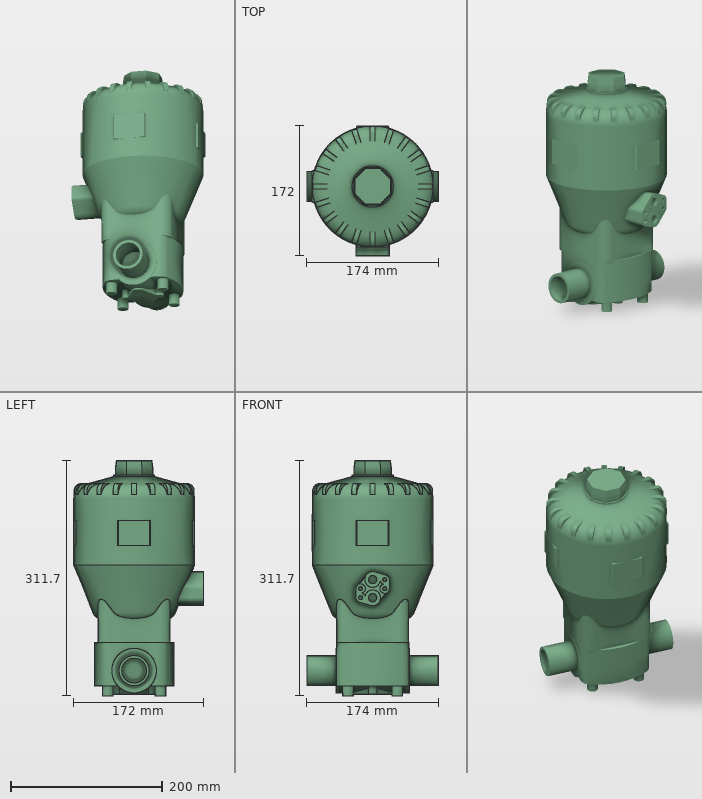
import cadquery as cq
import math


body_radius = 80.0
cone_bottom_radius = 55.1
cone_bottom_z = 77.65
cone_top_z = 139.75
cone_base_fillet = 17.4
cap_base_z = 227.05
cap_fillet = 20.0
cap_slope = math.radians(15.8)
collar_radius = 27.3
collar_height = 2.1

nut_base_z = 258.85
nut_shoulder_z = 268.15
nut_top_z = 277.77
nut_flats = 49.6
nut_top_flats = 47.0

rib_count = 20
rib_width = 6.7
rib_inner_radius = 60.2
rib_outer_radius = 79.5
rib_corner = 10.0
rib_top_z = 247.65
rib_bottom_z = 233.25
rib_root_depth = 8.0

pad_count = 4
pad_width = 44.4
pad_face_width = 41.0
pad_bottom_z = 165.75
pad_height = 33.0
pad_relief = 4.0

neck_width = 95.4
neck_corner = 13.5
block_corner = 14.0
neck_top_z = 100.0
block_top_z = 37.1
block_bottom_z = -20.1
block_width = 95.6
block_depth = 104.9
block_shoulder_x = 40.8
block_shoulder_y = 42.6
block_flat_half = 30.4

pipe_length = 174.0
pipe_radius = 20.0
bore_radius = 16.4
flange_radius = 29.5
flange_length = 97.0

boss_radius = 7.2
boss_x = 32.6
boss_y = 34.9
boss_bottom_z = -33.9
plate_bottom_z = -31.4
plate_half_depth = 21.6
plate_end_x = 26.5
plate_end_radius = 7.8
stud_radius = 5.75
stud_y = 22.4

port_face_y = -92.0
port_root_y = -50.0
port_center_z = 108.5
port_offset = 12.0
port_lobe_radius = 10.6
port_hole_radius = 5.5
port_hole_depth = 15.0
screw_x = 16.0
screw_lobe_radius = 6.2
screw_hole_radius = 2.7
screw_hole_depth = 10.0
recess_rim = 0.9
recess_depth = 0.5
recess_port_radius = 10.3
recess_screw_radius = 6.3

port_points = [(0, port_offset), (0, -port_offset)]
screw_points = [
    (screw_x, port_offset),
    (screw_x, 0),
    (-screw_x, 0),
    (-screw_x, -port_offset),
]


def make_body():
    """Turned body: rounded base, cone, cylinder, rounded cap and collar."""
    collar_base_z = nut_base_z - collar_height
    cone_angle = math.atan2(body_radius - cone_bottom_radius, cone_top_z - cone_bottom_z)
    base_center_r = cone_bottom_radius - cone_base_fillet * math.cos(cone_angle)
    base_center_z = cone_bottom_z + cone_base_fillet * math.sin(cone_angle)
    base_mid_angle = (math.pi / 2 + cone_angle) / 2
    base_mid = (
        base_center_r + cone_base_fillet * math.cos(base_mid_angle),
        base_center_z - cone_base_fillet * math.sin(base_mid_angle),
    )

    cap_center_r = body_radius - cap_fillet
    cap_mid_angle = (math.pi / 2 - cap_slope) / 2
    cap_mid = (
        cap_center_r + cap_fillet * math.cos(cap_mid_angle),
        cap_base_z + cap_fillet * math.sin(cap_mid_angle),
    )
    cap_end = (
        cap_center_r + cap_fillet * math.sin(cap_slope),
        cap_base_z + cap_fillet * math.cos(cap_slope),
    )
    return (
        cq.Workplane("XZ")
        .moveTo(0, base_center_z - cone_base_fillet)
        .lineTo(base_center_r, base_center_z - cone_base_fillet)
        .threePointArc(base_mid, (cone_bottom_radius, cone_bottom_z))
        .lineTo(body_radius, cone_top_z)
        .lineTo(body_radius, cap_base_z)
        .threePointArc(cap_mid, cap_end)
        .lineTo(collar_radius, collar_base_z)
        .lineTo(collar_radius, nut_base_z)
        .lineTo(0, nut_base_z)
        .close()
        .revolve(360, (0, 0, 0), (0, 1, 0))
    )


def octagon(flats, z):
    """Octagon at height z, flats apart across its sides, two of them square to X."""
    corner_diameter = flats / math.cos(math.pi / 8)
    half_step = math.degrees(math.pi / 8)
    return (
        cq.Workplane("XY", origin=(0, 0, z))
        .transformed(rotate=(0, 0, half_step))
        .polygon(8, corner_diameter)
    )


def make_nut():
    """Octagonal nut, straight below its shoulder and tapered above it."""
    straight = octagon(nut_flats, nut_base_z).extrude(nut_shoulder_z - nut_base_z)
    taper = math.degrees(math.atan2((nut_flats - nut_top_flats) / 2, nut_top_z - nut_shoulder_z))
    top = octagon(nut_flats, nut_shoulder_z).extrude(nut_top_z - nut_shoulder_z, taper=taper)
    return straight.union(top)


def make_rib():
    """One rib over the rounded cap edge, lying along +X."""
    corner_r = rib_outer_radius - rib_corner
    corner_z = rib_top_z - rib_corner
    corner_mid = rib_corner * math.sqrt(0.5)
    root_r = rib_outer_radius - rib_root_depth
    root_z = rib_top_z - rib_root_depth
    return (
        cq.Workplane("XZ")
        .moveTo(rib_inner_radius, root_z)
        .lineTo(rib_inner_radius, rib_top_z)
        .lineTo(corner_r, rib_top_z)
        .threePointArc((corner_r + corner_mid, corner_z + corner_mid), (rib_outer_radius, corner_z))
        .lineTo(rib_outer_radius, rib_bottom_z)
        .lineTo(root_r, rib_bottom_z)
        .close()
        .extrude(rib_width / 2, both=True)
    )


def make_pad():
    """Label pad with slanted sides, its face touching the body radius on +X."""
    root_x = body_radius - pad_relief
    return (
        cq.Workplane("XY", origin=(0, 0, pad_bottom_z))
        .polyline([
            (root_x, -pad_width / 2),
            (body_radius, -pad_face_width / 2),
            (body_radius, pad_face_width / 2),
            (root_x, pad_width / 2),
        ])
        .close()
        .extrude(pad_height)
    )


def make_neck():
    """Square neck with rounded corners, running up into the body cone."""
    return (
        cq.Workplane("XY", origin=(0, 0, block_top_z))
        .rect(neck_width, neck_width)
        .extrude(neck_top_z - block_top_z)
        .edges("|Z")
        .fillet(neck_corner)
    )


def make_block():
    """Valve block with flat X sides, rounded corners and bowed Y sides."""
    side_x = block_width / 2
    corner_center_x = side_x - block_corner
    corner_angle = math.atan2(
        block_shoulder_y - block_flat_half, block_shoulder_x - corner_center_x
    ) / 2
    mid_x = corner_center_x + block_corner * math.cos(corner_angle)
    mid_y = block_flat_half + block_corner * math.sin(corner_angle)
    return (
        cq.Workplane("XY", origin=(0, 0, block_bottom_z))
        .moveTo(side_x, -block_flat_half)
        .lineTo(side_x, block_flat_half)
        .threePointArc((mid_x, mid_y), (block_shoulder_x, block_shoulder_y))
        .threePointArc((0, block_depth / 2), (-block_shoulder_x, block_shoulder_y))
        .threePointArc((-mid_x, mid_y), (-side_x, block_flat_half))
        .lineTo(-side_x, -block_flat_half)
        .threePointArc((-mid_x, -mid_y), (-block_shoulder_x, -block_shoulder_y))
        .threePointArc((0, -block_depth / 2), (block_shoulder_x, -block_shoulder_y))
        .threePointArc((mid_x, -mid_y), (side_x, -block_flat_half))
        .close()
        .extrude(block_top_z - block_bottom_z)
    )


def make_pipes():
    """Flange cylinder and pipe, both through the block along X."""
    flange = cq.Workplane("YZ").circle(flange_radius).extrude(flange_length / 2, both=True)
    pipe = cq.Workplane("YZ").circle(pipe_radius).extrude(pipe_length / 2, both=True)
    return flange.union(pipe)


def make_bore(side):
    """Blind bore from one pipe end to the flange face; side is +1 or -1."""
    depth = (pipe_length - flange_length) / 2
    return (
        cq.Workplane("YZ", origin=(side * pipe_length / 2, 0, 0))
        .circle(bore_radius)
        .extrude(-side * depth)
    )


def make_underside():
    """Four corner bosses and a diamond plate with a stud at each Y corner."""
    bosses = (
        cq.Workplane("XY")
        .rect(2 * boss_x, 2 * boss_y, forConstruction=True)
        .vertices()
        .circle(boss_radius)
        .extrude(boss_bottom_z)
    )
    corner_distance = math.hypot(plate_end_x, plate_half_depth)
    corner_direction = math.pi - math.atan2(plate_half_depth, plate_end_x)
    tangent_angle = corner_direction - math.acos(plate_end_radius / corner_distance)
    tangent_x = plate_end_x + plate_end_radius * math.cos(tangent_angle)
    tangent_y = plate_end_radius * math.sin(tangent_angle)
    tip_x = plate_end_x + plate_end_radius
    plate = (
        cq.Workplane("XY")
        .moveTo(0, plate_half_depth)
        .lineTo(tangent_x, tangent_y)
        .threePointArc((tip_x, 0), (tangent_x, -tangent_y))
        .lineTo(0, -plate_half_depth)
        .lineTo(-tangent_x, -tangent_y)
        .threePointArc((-tip_x, 0), (-tangent_x, tangent_y))
        .close()
        .extrude(plate_bottom_z)
    )
    studs = (
        cq.Workplane("XY")
        .pushPoints([(0, stud_y), (0, -stud_y)])
        .circle(stud_radius)
        .extrude(plate_bottom_z)
    )
    return bosses.union(plate).union(studs)


def port_plane(y):
    """XZ workplane centred on the port block at depth y, facing -Y."""
    return cq.Workplane("XZ", origin=(0, y, port_center_z))


def port_outline(y, length, inset):
    """Prism wrapped tightly around the port and screw lobes, shrunk by inset."""
    port_r = port_lobe_radius - inset
    screw_r = screw_lobe_radius - inset
    lobes = [
        (screw_x, 0, screw_r),
        (screw_x, port_offset, screw_r),
        (0, port_offset, port_r),
        (-screw_x, 0, screw_r),
        (-screw_x, -port_offset, screw_r),
        (0, -port_offset, port_r),
    ]
    normals = []
    for i, (x, z, r) in enumerate(lobes):
        next_x, next_z, next_r = lobes[(i + 1) % len(lobes)]
        heading = math.atan2(next_z - z, next_x - x)
        spread = math.acos((r - next_r) / math.hypot(next_x - x, next_z - z))
        normals.append(heading - spread)

    def on_lobe(i, angle):
        x, z, r = lobes[i]
        return (x + r * math.cos(angle), z + r * math.sin(angle))

    outline = port_plane(y).moveTo(*on_lobe(-1, normals[-1]))
    for i, leaving in enumerate(normals):
        arriving = normals[i - 1]
        turn = (leaving - arriving) % (2 * math.pi)
        outline = (
            outline.lineTo(*on_lobe(i, arriving))
            .threePointArc(on_lobe(i, arriving + turn / 2), on_lobe(i, leaving))
        )
    return outline.close().extrude(length)


def port_cylinders(points, radius, depth):
    """Cylinders running inward from the port face."""
    return port_plane(port_face_y).pushPoints(points).circle(radius).extrude(-depth)


def make_port_recess():
    """Shallow pocket between the lands around the ports and screws."""
    pocket = port_outline(port_face_y, -recess_depth, recess_rim)
    reach = screw_x + port_offset
    for side in (1, -1):
        corner_land = [
            (0, port_offset),
            (screw_x, port_offset),
            (screw_x, 0),
            (reach, 0),
            (reach, reach),
            (0, reach),
        ]
        corner_land = [(side * x, side * z) for x, z in corner_land]
        land = port_plane(port_face_y).polyline(corner_land).close().extrude(-recess_depth)
        pocket = pocket.cut(land)
    return (
        pocket
        .cut(port_cylinders(port_points, recess_port_radius, recess_depth))
        .cut(port_cylinders(screw_points, recess_screw_radius, recess_depth))
    )


result = make_body().union(make_nut())

rib = make_rib()
for i in range(rib_count):
    result = result.union(rib.rotate((0, 0, 0), (0, 0, 1), i * 360 / rib_count))

pad = make_pad()
for i in range(pad_count):
    result = result.union(pad.rotate((0, 0, 0), (0, 0, 1), i * 360 / pad_count))

result = result.union(make_neck()).union(make_block())
result = result.union(make_pipes()).union(make_underside())
for side in (1, -1):
    result = result.cut(make_bore(side))

result = result.union(port_outline(port_root_y, port_root_y - port_face_y, 0))
result = result.cut(port_cylinders(port_points, port_hole_radius, port_hole_depth))
result = result.cut(port_cylinders(screw_points, screw_hole_radius, screw_hole_depth))
result = result.cut(make_port_recess())